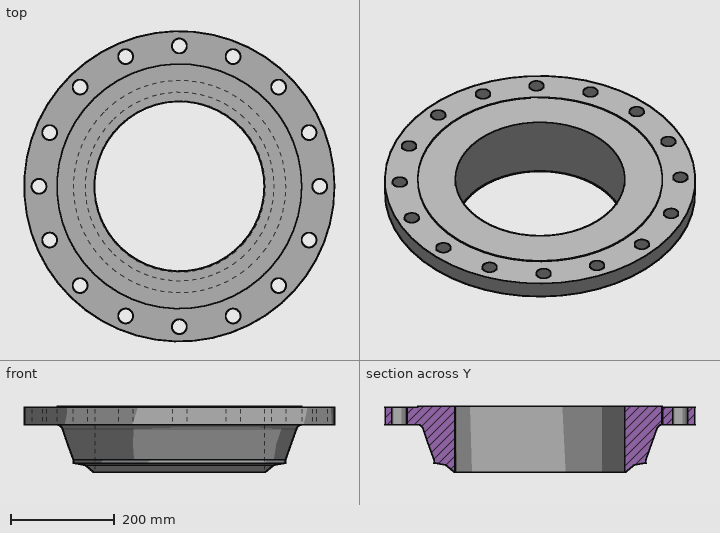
import cadquery as cq

flange_radius = 298.5
total_height = 127.0

raised_face_radius = 235.0
raised_face_height = 2.0
flange_thickness = 34.0
flange_top = total_height - raised_face_height
flange_bottom = flange_top - flange_thickness

hub_top_radius = 228.0
hub_bottom_radius = 204.0
hub_fillet_radius = 11.0
hub_taper_bottom = 24.0
hub_bottom = 18.0

bevel_outer_radius = 181.5
bevel_height = 14.0
land_radius = 165.0
bore_radius = 163.0

bolt_count = 16
bolt_circle_radius = 270.0
bolt_hole_diameter = 28.0


def ring_at(radius, height):
    """Select the circular edge of the body at a given radius and height."""
    margin = 0.3
    return cq.selectors.BoxSelector(
        (-radius - margin, -radius - margin, height - margin),
        (radius + margin, radius + margin, height + margin),
        boundingbox=True,
    )


def make_body():
    """Revolve the half section about Z and fillet the hub into the flange."""
    body = (
        cq.Workplane("XZ")
        .moveTo(0, 0)
        .lineTo(land_radius, 0)
        .lineTo(bevel_outer_radius, bevel_height)
        .lineTo(hub_bottom_radius, hub_bottom)
        .lineTo(hub_bottom_radius, hub_taper_bottom)
        .lineTo(hub_top_radius, flange_bottom)
        .lineTo(flange_radius, flange_bottom)
        .lineTo(flange_radius, flange_top)
        .lineTo(raised_face_radius, flange_top)
        .lineTo(raised_face_radius, total_height)
        .lineTo(0, total_height)
        .close()
        .revolve(360, (0, 0, 0), (0, 1, 0))
    )
    return body.edges(ring_at(hub_top_radius, flange_bottom)).fillet(hub_fillet_radius)


def make_bore():
    return cq.Workplane("XY").circle(bore_radius).extrude(total_height)


def make_bolt_holes():
    return (
        cq.Workplane("XY")
        .workplane(offset=flange_bottom)
        .polarArray(bolt_circle_radius, 0, 360, bolt_count)
        .circle(bolt_hole_diameter / 2)
        .extrude(flange_thickness)
    )


result = make_body().cut(make_bore()).cut(make_bolt_holes())